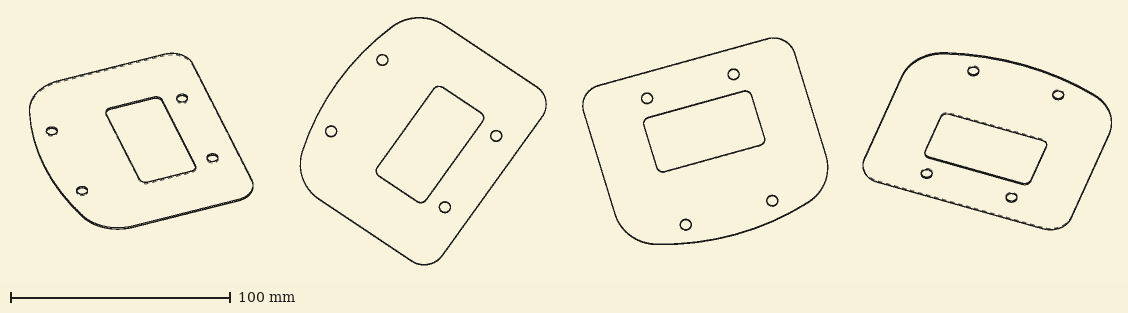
import cadquery as cq
import math

width = 100.0
height = 85.8
thickness = 1.0
top_corner_radius = 10.0
bottom_corner_radius = 20.0
bottom_arc_radius = 120.0

window_width = 51.0
window_height = 27.0
window_corner_radius = 3.0
window_top_offset = 21.0

hole_diameter = 5.0
hole_spacing_x = 41.0
hole_spacing_y = 63.0
hole_top_offset = 12.0

half_width = width / 2
top_y = height / 2
bottom_y = -height / 2


def plate():
    """Plate with rounded corners and a bottom arc tangent to the lower corners."""
    corner_x = half_width - bottom_corner_radius
    arc_center_y = bottom_y + bottom_arc_radius
    center_distance = bottom_arc_radius - bottom_corner_radius
    corner_y = arc_center_y - math.sqrt(center_distance**2 - corner_x**2)

    tangent_scale = bottom_arc_radius / center_distance
    tangent_x = corner_x * tangent_scale
    tangent_y = arc_center_y + (corner_y - arc_center_y) * tangent_scale

    return (
        cq.Workplane("XY")
        .moveTo(-half_width + top_corner_radius, top_y)
        .lineTo(half_width - top_corner_radius, top_y)
        .radiusArc((half_width, top_y - top_corner_radius), top_corner_radius)
        .lineTo(half_width, corner_y)
        .radiusArc((tangent_x, tangent_y), bottom_corner_radius)
        .threePointArc((0, bottom_y), (-tangent_x, tangent_y))
        .radiusArc((-half_width, corner_y), bottom_corner_radius)
        .lineTo(-half_width, top_y - top_corner_radius)
        .radiusArc((-half_width + top_corner_radius, top_y), top_corner_radius)
        .close()
        .extrude(thickness)
    )


def window():
    """Cutter for the rounded rectangular window."""
    center_y = top_y - window_top_offset - window_height / 2
    return (
        cq.Workplane("XY")
        .center(0, center_y)
        .rect(window_width, window_height)
        .extrude(thickness)
        .edges("|Z")
        .fillet(window_corner_radius)
    )


def screw_holes():
    """Cutters for the four screw holes."""
    center_y = top_y - hole_top_offset - hole_spacing_y / 2
    return (
        cq.Workplane("XY")
        .center(0, center_y)
        .rarray(hole_spacing_x, hole_spacing_y, 2, 2)
        .circle(hole_diameter / 2)
        .extrude(thickness)
    )


result = plate().cut(window()).cut(screw_holes())